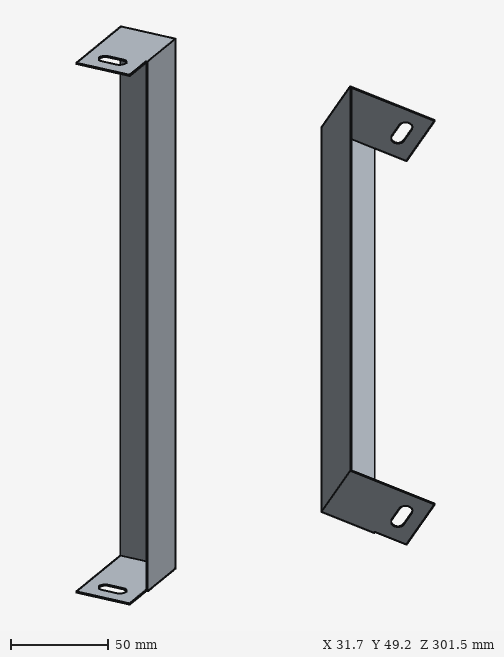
import cadquery as cq

width = 31.7
depth = 49.2
height = 301.5
sheet = 0.8

tab_width = width - sheet
side_wall_depth = 30.8

slot_length = 15.5
slot_width = 7.0
slot_from_side = 15.0
slot_from_front = 11.2


def corner_box(size_x, size_y, size_z, corner):
    """Box whose lowest-coordinate corner sits at the given point."""
    return cq.Workplane("XY").box(size_x, size_y, size_z, centered=False).translate(corner)


def end_tab(bottom):
    """Horizontal tab with its mounting slot, resting at the given height."""
    slot = (
        cq.Workplane("XY")
        .center(slot_from_side, slot_from_front)
        .slot2D(slot_length, slot_width)
        .extrude(sheet)
    )
    plate = corner_box(tab_width, depth, sheet, (0, 0, 0)).cut(slot)
    return plate.translate((0, 0, bottom))


back_wall = corner_box(width, sheet, height, (0, depth - sheet, 0))
side_wall = corner_box(
    sheet, side_wall_depth, height, (width - sheet, depth - side_wall_depth, 0)
)

result = back_wall.union(side_wall)
for tab_bottom in (0, height - sheet):
    result = result.union(end_tab(tab_bottom))